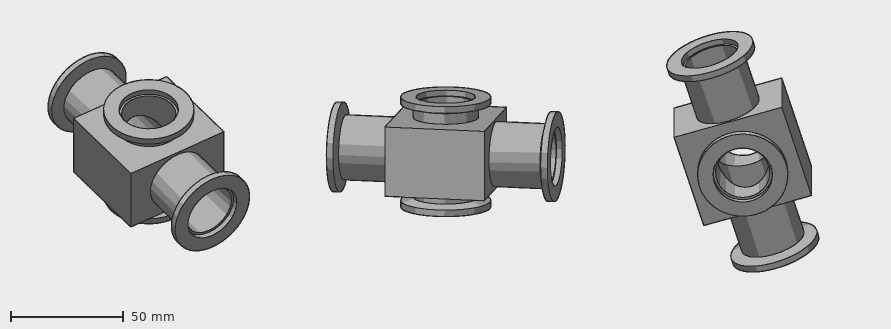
import cadquery as cq
import math

RUN_LENGTH_X = 100.0
RUN_LENGTH_Z = 50.0

BLOCK_X = 45.0
BLOCK_Y = 50.0
BLOCK_Z = 31.5

TUBE_DIAMETER = 29.0
BORE_DIAMETER = 24.0
FLANGE_DIAMETER = 40.0
RIM_THICKNESS = 3.0
CLAMP_ANGLE = 15.0

RECESS_DIAMETER = 26.2
RECESS_DEPTH = 2.6


def revolve_about_z(points):
    """Revolve a closed (radius, height) outline about the Z axis."""
    return cq.Workplane("XZ").polyline(points).close().revolve(360, (0, 0, 0), (0, 1, 0))


def run_body(length):
    """Solid pipe along Z, centred on the origin, with a clamp flange at each end."""
    end = length / 2
    tube_radius = TUBE_DIAMETER / 2
    flange_radius = FLANGE_DIAMETER / 2
    rim_back = end - RIM_THICKNESS
    cone_foot = rim_back - (flange_radius - tube_radius) * math.tan(math.radians(CLAMP_ANGLE))
    upper_outline = [
        (0, 0),
        (tube_radius, 0),
        (tube_radius, cone_foot),
        (flange_radius, rim_back),
        (flange_radius, end),
        (0, end),
    ]
    half = revolve_about_z(upper_outline)
    return half.union(half.mirror("XY"))


def run_bore(length):
    """Through bore along Z with a wider recess at each end."""
    bore = cq.Workplane("XY").circle(BORE_DIAMETER / 2).extrude(length / 2, both=True)
    recess = (
        cq.Workplane("XY")
        .workplane(offset=length / 2 - RECESS_DEPTH)
        .circle(RECESS_DIAMETER / 2)
        .extrude(RECESS_DEPTH)
    )
    return bore.union(recess).union(recess.mirror("XY"))


def along_x(shape):
    """Turn a shape built along Z so that it lies along X."""
    return shape.rotate((0, 0, 0), (0, 1, 0), 90)


block = cq.Workplane("XY").box(BLOCK_X, BLOCK_Y, BLOCK_Z)
body = block.union(along_x(run_body(RUN_LENGTH_X))).union(run_body(RUN_LENGTH_Z))
result = body.cut(along_x(run_bore(RUN_LENGTH_X))).cut(run_bore(RUN_LENGTH_Z))